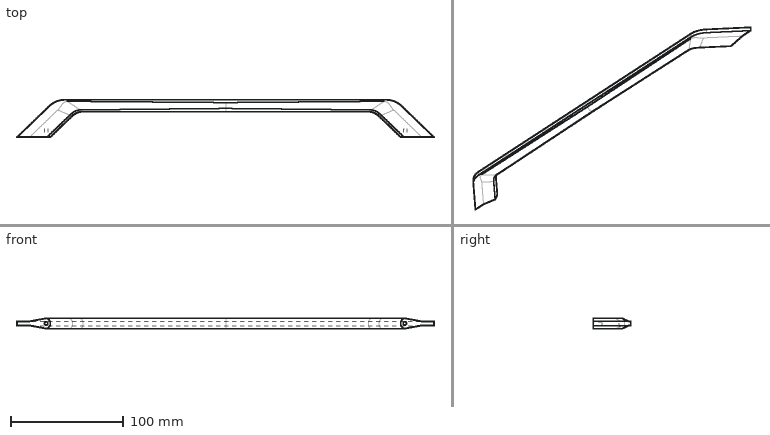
import cadquery as cq
import math

length = 371.5
height = 33.5
thickness = 9.5

leg_angle = math.radians(44)
foot_width = 29.7
bar_width = 10.8

edge_thickness = 3.7
foot_flat = 10.8
bar_flat = 2.5
foot_bulge = 3.0
bar_bulge = 3.0

outer_tangent = 8.0
inner_tangent = 5.5
bend_steps = 6

hole_diameter = 3.0
hole_inset = 26.0
hole_depth = 7.5


def mix(start, end, t):
    return start + (end - start) * t


def bend_point(corner, tangent, t):
    """Point on the arc rounding a corner between the leg (t = 0) and the bar (t = 1)."""
    radius = tangent / math.tan(leg_angle / 2)
    heading = leg_angle * (1 - t)
    return cq.Vector(
        corner.x + tangent - radius * math.sin(heading),
        corner.y - radius + radius * math.cos(heading),
    )


def section(outer, inner, flat, bulge):
    """Upright section: thin outer edge, flat strip, widening flank and rounded grip face."""
    across = inner - outer
    width = across.Length
    plane = cq.Plane(origin=outer, xDir=across, normal=across.cross(cq.Vector(0, 0, 1)))
    edge = edge_thickness / 2
    full = thickness / 2
    return (
        cq.Workplane(plane)
        .moveTo(0, -edge)
        .lineTo(flat, -edge)
        .lineTo(width - bulge, -full)
        .threePointArc((width, 0), (width - bulge, full))
        .lineTo(flat, edge)
        .lineTo(0, edge)
        .close()
        .val()
    )


def loft(sections, ruled):
    return cq.Workplane(cq.Solid.makeLoft(sections, ruled))


outer_foot = cq.Vector(-length / 2, 0)
inner_foot = cq.Vector(-length / 2 + foot_width, 0)
inner_height = height - bar_width
outer_corner = cq.Vector(outer_foot.x + height / math.tan(leg_angle), height)
inner_corner = cq.Vector(inner_foot.x + inner_height / math.tan(leg_angle), inner_height)

bend_sections = []
leg_end_width = (
    bend_point(inner_corner, inner_tangent, 0) - bend_point(outer_corner, outer_tangent, 0)
).Length
leg_scale = leg_end_width / foot_width
for step in range(bend_steps + 1):
    t = step / bend_steps
    blend = t * t * (3 - 2 * t)
    bend_sections.append(
        section(
            bend_point(outer_corner, outer_tangent, t),
            bend_point(inner_corner, inner_tangent, t),
            mix(foot_flat * leg_scale, bar_flat, blend),
            mix(foot_bulge * leg_scale, bar_bulge, blend),
        )
    )

foot_section = section(outer_foot, inner_foot, foot_flat, foot_bulge)
middle_section = section(cq.Vector(0, height), cq.Vector(0, inner_height), bar_flat, bar_bulge)

leg = loft([foot_section, bend_sections[0]], True)
bend = loft(bend_sections, False)
half_bar = loft([bend_sections[-1], middle_section], True)

hole = (
    cq.Workplane("XZ")
    .center(outer_foot.x + hole_inset, 0)
    .circle(hole_diameter / 2)
    .extrude(-hole_depth)
)

half = leg.union(bend).union(half_bar).cut(hole)
result = half.union(half.mirror("YZ")).clean()